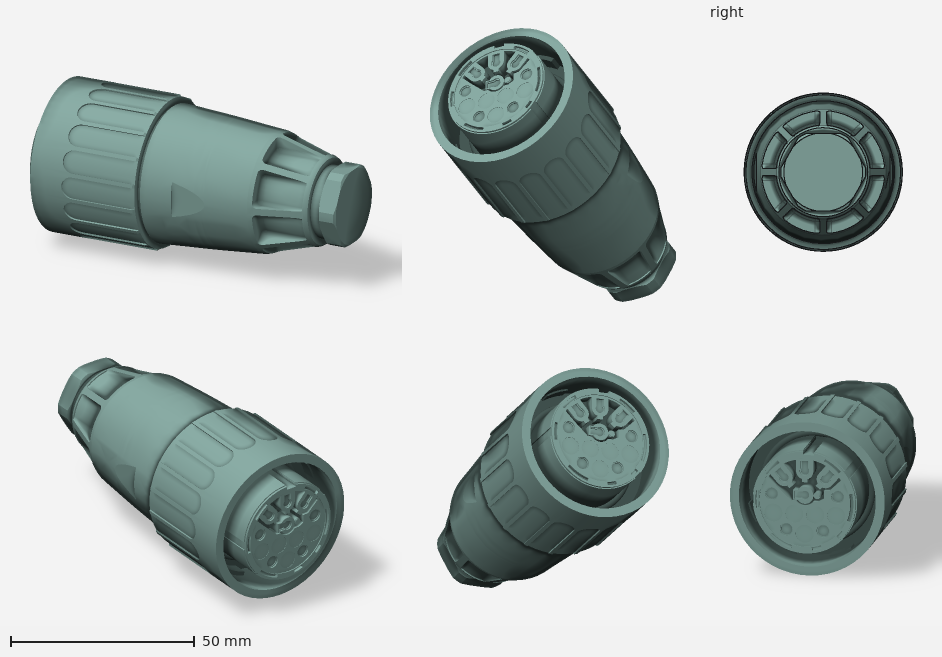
import cadquery as cq
import math


LENGTH = 91.7
RING_FRONT = 3.8
RING_REAR = 35.4
BODY_FRONT = 36.3
BODY_REAR = 67.8
POCKET_FRONT = 69.1
CAP_REAR = 83.75
NUT_FRONT = 86.5

RING_RADIUS = 43 / 2
RING_BORE_RADIUS = 38 / 2
RING_BORE_FLOOR = 17.5
RING_CHAMFER = 0.5
FLUTE_COUNT = 18
FLUTE_PITCH = 360 / FLUTE_COUNT
FIRST_RIDGE_ANGLE = 92
RIDGE_WIDTH = 1.1
FLUTE_DEPTH = 0.5
FLUTE_FRONT = 13.3
FLUTE_WIDTH = 2 * RING_RADIUS * math.sin(math.radians(FLUTE_PITCH / 2)) - RIDGE_WIDTH
BAYONET_ANGLES = (116, 296)
BAYONET_LUG_RADIUS = 17.8
BAYONET_SPAN = 20
BAYONET_FRONT = 13.5
GUIDE_RIDGE_RADIUS = 18.5
GUIDE_RIDGE_SPANS = ((57, 77), (149, 166), (237, 257), (329, 346))

SEAL_OUTER_RADIUS = 16.1

NECK_RADIUS = 18.8
BODY_FRONT_RADIUS = 19.4
BODY_MID_RADIUS = 18.45
BODY_REAR_RADIUS = 17.1
MARK_FLAT_OFFSET = 18.2
MARK_FLAT_FRONT = 45.5
CAP_CONE_END = 82.7
CAP_CONE_END_RADIUS = 12.7
CAP_REAR_RADIUS = 12.1
RIB_COUNT = 8
RIB_WIDTH = 1.9
POCKET_FLOOR_RADIUS = 12.4
POCKET_REAR = 82.4
POCKET_CORNER_RADIUS = 1.3
POCKET_FLOOR_FILLET = 1.2

CABLE_NECK_RADIUS = 20.4 / 2
NUT_SIDES = 6
NUT_FLATS = 21.1
NUT_CORNER_DIAMETER = 23.0
NUT_CHAMFER = 0.4

INSERT_RADIUS = 14.2
PAD_RADIUS = 14.5
PAD_FRONT = 0.6
PAD_SPANS = ((5, 88), (101, 140), (150, 214), (224, 355))
KEYWAY_Y_RANGE = (-2.6, 0.4)
KEYWAY_FLOOR = 13.3
FACE_RADIUS = 12.5
FACE_RECESS = 0.3
RIM_SLOT_INNER = 12.7
RIM_SLOT_OUTER = 13.6
RIM_SLOT_DEPTH = 1.0
RIM_SLOT_SPANS = ((34, 57), (115, 138), (167, 202), (216, 226), (249, 261), (286, 315), (350, 372))

ROUND_HOLE_DEPTH = 0.7
KEYHOLE_DEPTH = 0.8
TOWER_RADIUS = 2.4
CENTRE_TOWER_ARM_WIDTH = 2.8
CENTRE_TOWER_ARM_REACH = 3.2
TOWER_NUB_WIDTH = 1.6
TOWER_NUB_REACH = 3.15
KEYHOLE_RADIUS = 1.4
KEYHOLE_STEP = 0.25
KEYHOLE_NECK_WIDTH = 2.2
KEYHOLE_NECK_REACH = 2.8
OUTER_KEYHOLE_PITCH_RADIUS = 8.7
OUTER_KEYHOLE_ANGLES = (49, 90, 131)
CENTRE_KEYHOLE = (0, 1.9)
RECESS_DEPTH = 4.0
RECESS_OUTER_RADIUS = 12.0
RECESS_END_ANGLES = (147, 33)
RECESS_LOWER_CORNERS = ((7.5, 3.9), (3.6, 0.2), (-3.7, 0.2), (-5.3, 1.0), (-5.3, 3.3), (-6.9, 3.5))
CENTRE_RECESS_RADIUS = 2.9
CODING_PIN = (-3.4, 1.9)
CODING_PIN_DIAMETER = 1.95
CODING_PIN_TIP_DIAMETER = 1.57
CODING_PIN_TIP_LENGTH = 0.2
ROUND_HOLES = ((9.15, 1.9), (-9.15, 1.9), (5.1, -7.9), (-5.1, -7.9))
ROUND_HOLE_DIAMETER = 3.6
ROUND_HOLE_STEP = 0.25
STEP_DEPTH = 0.4
LID_CENTRES = ((8.7, -3.4), (2.9, -3.4), (-2.9, -3.4), (-8.7, -3.4), (0, -8.9))
LID_DIAMETER = 5.0
LID_RECESS = 0.1


def section(x):
    """Work plane across the axis at station x."""
    return cq.Workplane("YZ", origin=(x, 0, 0))


def disc(x0, x1, radius):
    return section(x0).circle(radius).extrude(x1 - x0)


def polar(radius, angle):
    a = math.radians(angle)
    return radius * math.cos(a), radius * math.sin(a)


def arc_band(x0, x1, inner, outer, start, end):
    """Ring segment between two radii and two angles."""
    middle = (start + end) / 2
    return (
        section(x0)
        .moveTo(*polar(inner, start))
        .lineTo(*polar(outer, start))
        .threePointArc(polar(outer, middle), polar(outer, end))
        .lineTo(*polar(inner, end))
        .threePointArc(polar(inner, middle), polar(inner, start))
        .close()
        .extrude(x1 - x0)
    )


def about_axis(shape, angle):
    return shape.rotate((0, 0, 0), (1, 0, 0), angle)


def make_bore_ridge(inner_radius, start, end):
    """Raised segment on the wall of the ring bore, rooted inside the wall."""
    root_radius = (RING_BORE_RADIUS + RING_RADIUS) / 2
    return arc_band(BAYONET_FRONT, RING_BORE_FLOOR, inner_radius, root_radius, start, end)


def make_coupling_ring():
    ring = disc(RING_FRONT, RING_REAR, RING_RADIUS).faces(">X").edges().chamfer(RING_CHAMFER)
    ring = ring.cut(disc(RING_FRONT, RING_BORE_FLOOR, RING_BORE_RADIUS))

    slot_length = RING_REAR - FLUTE_FRONT + FLUTE_WIDTH
    flute = (
        cq.Workplane("XY")
        .center(FLUTE_FRONT + slot_length / 2, 0)
        .slot2D(slot_length, FLUTE_WIDTH)
        .extrude(2 * RING_RADIUS)
        .cut(disc(0, LENGTH, RING_RADIUS - FLUTE_DEPTH))
    )
    first_flute = FIRST_RIDGE_ANGLE - 90 + FLUTE_PITCH / 2
    for i in range(FLUTE_COUNT):
        ring = ring.cut(about_axis(flute, first_flute + i * FLUTE_PITCH))

    spans = [(angle - BAYONET_SPAN / 2, angle + BAYONET_SPAN / 2) for angle in BAYONET_ANGLES]
    for start, end in spans:
        ring = ring.union(make_bore_ridge(BAYONET_LUG_RADIUS, start, end))
    for start, end in GUIDE_RIDGE_SPANS:
        ring = ring.union(make_bore_ridge(GUIDE_RIDGE_RADIUS, start, end))
    return ring


def make_seal():
    tube_radius = (SEAL_OUTER_RADIUS - INSERT_RADIUS) / 2
    centre_radius = (SEAL_OUTER_RADIUS + INSERT_RADIUS) / 2
    return (
        cq.Workplane("XY")
        .center(RING_BORE_FLOOR, centre_radius)
        .circle(tube_radius)
        .revolve(360, (0, -centre_radius, 0), (1, -centre_radius, 0))
    )


def make_body():
    body = (
        cq.Workplane("XY")
        .moveTo(RING_BORE_FLOOR, 0)
        .lineTo(RING_BORE_FLOOR, NECK_RADIUS)
        .lineTo(BODY_FRONT, NECK_RADIUS)
        .lineTo(BODY_FRONT, BODY_FRONT_RADIUS)
        .threePointArc(((BODY_FRONT + BODY_REAR) / 2, BODY_MID_RADIUS), (BODY_REAR, BODY_REAR_RADIUS))
        .lineTo(BODY_REAR, 0)
        .close()
        .revolve(360, (0, 0, 0), (1, 0, 0))
    )
    shave = cq.Workplane("XY").box(
        BODY_REAR - MARK_FLAT_FRONT, BODY_FRONT_RADIUS, 2 * BODY_FRONT_RADIUS, centered=(False, False, True)
    )
    shave = shave.translate((MARK_FLAT_FRONT, MARK_FLAT_OFFSET, 0))
    return body.cut(shave).cut(about_axis(shave, 180))


def make_cap():
    cap = (
        cq.Workplane("XY")
        .moveTo(BODY_REAR, 0)
        .lineTo(BODY_REAR, BODY_REAR_RADIUS)
        .lineTo(CAP_CONE_END, CAP_CONE_END_RADIUS)
        .tangentArcPoint((CAP_REAR, CAP_REAR_RADIUS), relative=False)
        .lineTo(CAP_REAR, 0)
        .close()
        .revolve(360, (0, 0, 0), (1, 0, 0))
    )
    pitch = 360 / RIB_COUNT
    apex = RIB_WIDTH / 2 / math.sin(math.radians(pitch / 2))
    reach = 2 * BODY_REAR_RADIUS
    side_y, side_z = polar(reach, pitch / 2)
    pocket = (
        section(POCKET_FRONT)
        .moveTo(apex, 0)
        .lineTo(apex + side_y, side_z)
        .lineTo(apex + side_y, -side_z)
        .close()
        .extrude(POCKET_REAR - POCKET_FRONT)
        .cut(disc(BODY_REAR, CAP_REAR, POCKET_FLOOR_RADIUS))
    )
    margin = 1.0

    def edges_between(x0, x1, y0, y1):
        return cq.selectors.BoxSelector((x0, y0, -reach), (x1, y1, reach))

    front_corners = edges_between(POCKET_FRONT - margin, POCKET_FRONT + margin, BODY_REAR_RADIUS, side_y)
    pocket = pocket.edges(front_corners).fillet(POCKET_CORNER_RADIUS)
    floor_edges = edges_between(POCKET_FRONT - margin, POCKET_REAR - margin, 0, POCKET_FLOOR_RADIUS + margin)
    pocket = pocket.edges(floor_edges).fillet(POCKET_FLOOR_FILLET)
    for i in range(RIB_COUNT):
        cap = cap.cut(about_axis(pocket, (i + 0.5) * pitch))
    return cap


def make_cable_nut():
    """Neck and hexagon nut with flats facing +Z and -Z and rounded-off corners."""
    neck = disc(CAP_REAR, NUT_FRONT, CABLE_NECK_RADIUS)
    across_corners = NUT_FLATS / math.cos(math.pi / NUT_SIDES)
    hexagon = section(NUT_FRONT).polygon(NUT_SIDES, across_corners).extrude(LENGTH - NUT_FRONT)
    rounding = disc(NUT_FRONT, LENGTH, NUT_CORNER_DIAMETER / 2).edges().chamfer(NUT_CHAMFER, 2 * NUT_CHAMFER)
    return neck.union(hexagon.intersect(rounding))


def make_keyhole(growth, x0, x1):
    """Round hole at the axis with a narrower slot reaching towards +Y."""
    neck_width = KEYHOLE_NECK_WIDTH + 2 * growth
    neck = section(x0).center(KEYHOLE_NECK_REACH / 2, 0).rect(KEYHOLE_NECK_REACH, neck_width).extrude(x1 - x0)
    return disc(x0, x1, KEYHOLE_RADIUS + growth).union(neck)


def make_stepped_keyhole():
    mouth = make_keyhole(0, FACE_RECESS, FACE_RECESS + STEP_DEPTH)
    return mouth.union(make_keyhole(-KEYHOLE_STEP, FACE_RECESS, FACE_RECESS + KEYHOLE_DEPTH))


def make_contact_recess():
    """Hollow around the keyhole towers in the upper part of the insert."""
    recess = (
        section(FACE_RECESS)
        .polyline(RECESS_LOWER_CORNERS)
        .lineTo(*polar(RECESS_OUTER_RADIUS, RECESS_END_ANGLES[0]))
        .threePointArc((0, RECESS_OUTER_RADIUS), polar(RECESS_OUTER_RADIUS, RECESS_END_ANGLES[1]))
        .close()
        .extrude(RECESS_DEPTH)
    )
    rear = FACE_RECESS + RECESS_DEPTH
    recess = recess.union(disc(FACE_RECESS, rear, CENTRE_RECESS_RADIUS).translate((0, *CENTRE_KEYHOLE)))
    arm = section(FACE_RECESS).center(CENTRE_TOWER_ARM_REACH / 2, 0)
    arm = arm.rect(CENTRE_TOWER_ARM_REACH, CENTRE_TOWER_ARM_WIDTH).extrude(RECESS_DEPTH)
    centre_tower = disc(FACE_RECESS, rear, TOWER_RADIUS).union(arm)
    recess = recess.cut(centre_tower.translate((0, *CENTRE_KEYHOLE)))
    root = section(FACE_RECESS).center(TOWER_RADIUS, 0).rect(2 * TOWER_RADIUS, 2 * TOWER_RADIUS)
    tower = disc(FACE_RECESS, rear, TOWER_RADIUS).union(root.extrude(RECESS_DEPTH))
    nub = section(FACE_RECESS).center(-TOWER_NUB_REACH / 2, 0).rect(TOWER_NUB_REACH, TOWER_NUB_WIDTH)
    tower = tower.union(nub.extrude(RECESS_DEPTH))
    tower = tower.translate((0, OUTER_KEYHOLE_PITCH_RADIUS, 0))
    for angle in OUTER_KEYHOLE_ANGLES:
        recess = recess.cut(about_axis(tower, angle))
    return recess


def make_insert():
    insert = disc(0, RING_BORE_FLOOR, INSERT_RADIUS)
    for start, end in PAD_SPANS:
        insert = insert.union(arc_band(PAD_FRONT, RING_BORE_FLOOR, FACE_RADIUS, PAD_RADIUS, start, end))
    insert = insert.cut(disc(0, FACE_RECESS, FACE_RADIUS))

    keyway_width = KEYWAY_Y_RANGE[1] - KEYWAY_Y_RANGE[0]
    keyway = cq.Workplane("XY").box(RING_BORE_FLOOR, keyway_width, PAD_RADIUS, centered=False)
    insert = insert.cut(keyway.translate((0, KEYWAY_Y_RANGE[0], KEYWAY_FLOOR)))
    for start, end in RIM_SLOT_SPANS:
        insert = insert.cut(arc_band(0, RIM_SLOT_DEPTH, RIM_SLOT_INNER, RIM_SLOT_OUTER, start, end))

    insert = insert.cut(make_contact_recess())
    keyhole = make_stepped_keyhole()
    for angle in OUTER_KEYHOLE_ANGLES:
        insert = insert.cut(about_axis(keyhole.translate((0, OUTER_KEYHOLE_PITCH_RADIUS, 0)), angle))
    insert = insert.cut(keyhole.translate((0, *CENTRE_KEYHOLE)))

    mouths = section(FACE_RECESS).pushPoints(ROUND_HOLES).circle(ROUND_HOLE_DIAMETER / 2).extrude(STEP_DEPTH)
    bores = (
        section(FACE_RECESS)
        .pushPoints(ROUND_HOLES)
        .circle(ROUND_HOLE_DIAMETER / 2 - ROUND_HOLE_STEP)
        .extrude(ROUND_HOLE_DEPTH)
    )
    lids = section(FACE_RECESS).pushPoints(LID_CENTRES).circle(LID_DIAMETER / 2).extrude(LID_RECESS)
    insert = insert.cut(mouths).cut(bores).cut(lids)

    shoulder = FACE_RECESS + CODING_PIN_TIP_LENGTH
    pin = disc(shoulder, FACE_RECESS + RECESS_DEPTH, CODING_PIN_DIAMETER / 2)
    pin = pin.union(disc(FACE_RECESS, shoulder, CODING_PIN_TIP_DIAMETER / 2)).translate((0, *CODING_PIN))
    return insert.union(pin)


result = (
    make_body()
    .union(make_coupling_ring())
    .union(make_insert())
    .union(make_seal())
    .union(make_cap())
    .union(make_cable_nut())
)